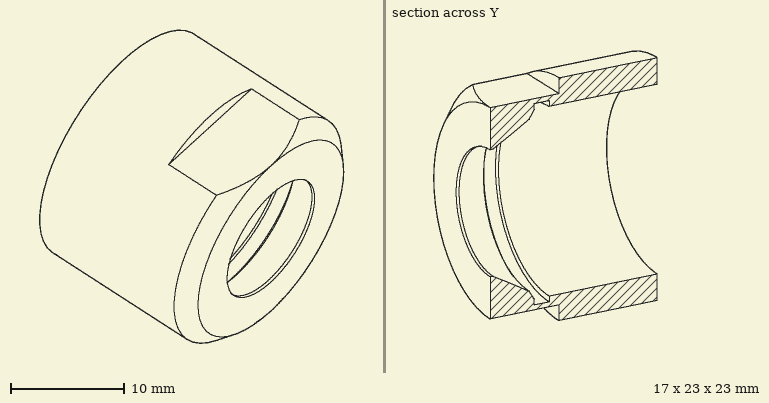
import cadquery as cq
import math

length = 17.0
outer_diameter = 23.0
end_chamfer = 1.5

across_flats = 20.0
flat_start = 10.0

thread_diameter = 17.92
thread_depth = 11.0
groove_diameter = 19.0
groove_end = 12.5
shoulder_length = 0.5
sealing_cone_angle = 30.0
throat_diameter = 12.0
throat_length = 0.3

thread_radius = thread_diameter / 2
groove_radius = groove_diameter / 2
throat_radius = throat_diameter / 2

shoulder_end = groove_end + shoulder_length
throat_start = length - throat_length
sealing_cone_rise = (throat_start - shoulder_end) * math.tan(math.radians(sealing_cone_angle))
shoulder_end_radius = throat_radius + sealing_cone_rise


def sleeve():
    body = cq.Workplane("YZ").circle(outer_diameter / 2).extrude(length)
    return body.faces(">X").chamfer(end_chamfer)


def bore():
    """Thread bore, relief groove, conical shoulder, sealing cone and throat as one revolved solid."""
    profile = (
        cq.Workplane("XY")
        .lineTo(0, thread_radius)
        .lineTo(thread_depth, thread_radius)
        .lineTo(thread_depth, groove_radius)
        .lineTo(groove_end, groove_radius)
        .lineTo(groove_end, thread_radius)
        .lineTo(shoulder_end, shoulder_end_radius)
        .lineTo(throat_start, throat_radius)
        .lineTo(length, throat_radius)
        .lineTo(length, 0)
        .close()
    )
    return profile.revolve(360, (0, 0, 0), (1, 0, 0))


def wrench_flat(side):
    """Slab of waste above (side = 1) or below (side = -1) the sleeve."""
    flat_length = length - flat_start
    slab_height = (outer_diameter - across_flats) / 2
    slab = cq.Workplane("XY").box(flat_length, outer_diameter, slab_height)
    slab_height_above_axis = (across_flats + slab_height) / 2
    return slab.translate((flat_start + flat_length / 2, 0, side * slab_height_above_axis))


result = sleeve().cut(bore())
for side in (-1, 1):
    result = result.cut(wrench_flat(side))